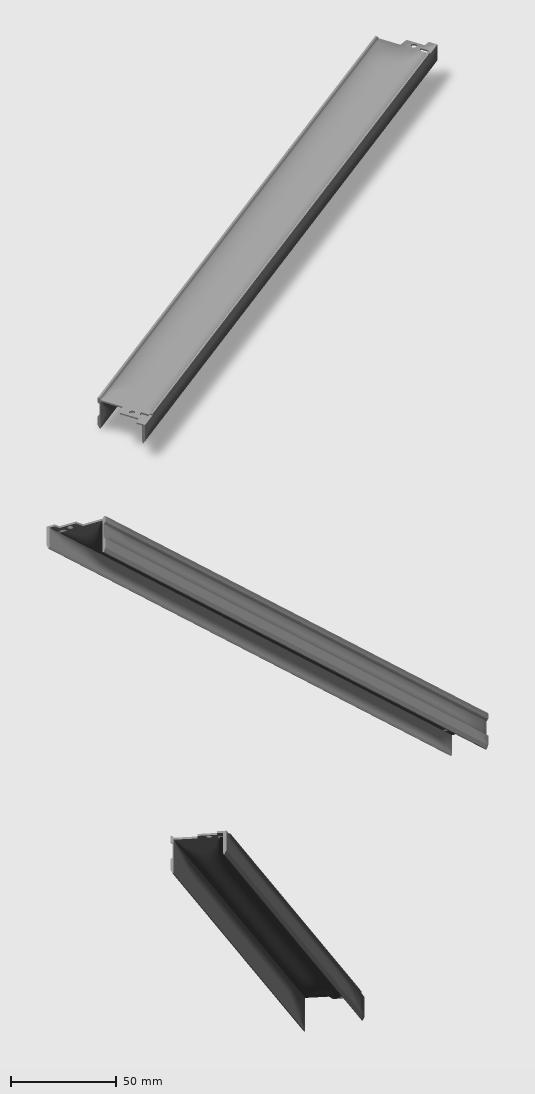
import cadquery as cq

length = 320.0
width = 28.8
height = 18.2
body_length = 304.5

wall = 1.5
thin_wall = 0.5
ridge_height = 1.0
ridge_crest = 1.0
web_thickness = 1.0
web_bottom = -ridge_height - web_thickness
recess_top = -3.0
recess_bottom = -11.5
recess_slope = 1.0
left_bevel_top = -16.3
right_bevel_top = -10.5
right_wall_bottom = -12.5
bevel_depth = 1.0
inner_bevel_height = 1.0
inner_bevel_depth = 0.3

tab_left = 13.0
tab_slant = 1.0
tab_shoulder = 157.0
ear_left = 23.7
ear_slant = 0.5
hole_diameter = 3.0
hole_x = 19.2
hole_y = 154.3
slot_left = 23.0
slot_width = 2.0

body_end = body_length / 2
tab_end = length / 2
right_inner = width - wall
recess_depth = wall - thin_wall


def extrude_section(points, section_length):
    """Extrude an XZ outline, centred along Y."""
    return cq.Workplane("XZ").polyline(points).close().extrude(section_length / 2, both=True)


def channel():
    """Full section: ridged web, recessed left wall and shorter right wall."""
    return extrude_section(
        [
            (0, 0),
            (ridge_crest, 0),
            (wall, -ridge_height),
            (right_inner, -ridge_height),
            (width - ridge_crest, 0),
            (width, 0),
            (width, right_bevel_top),
            (width - bevel_depth, right_wall_bottom),
            (right_inner + inner_bevel_depth, right_wall_bottom),
            (right_inner, right_wall_bottom + inner_bevel_height),
            (right_inner, web_bottom),
            (wall, web_bottom),
            (wall, -height),
            (bevel_depth, -height),
            (0, left_bevel_top),
            (0, recess_bottom),
            (recess_depth, recess_bottom + recess_slope),
            (recess_depth, recess_top - recess_slope),
            (0, recess_top),
        ],
        body_length,
    )


def tab_wall():
    """Right wall running the whole length, below the ridge."""
    return extrude_section(
        [
            (right_inner, -ridge_height),
            (width, -ridge_height),
            (width, right_bevel_top),
            (width - bevel_depth, right_wall_bottom),
            (right_inner + inner_bevel_depth, right_wall_bottom),
            (right_inner, right_wall_bottom + inner_bevel_height),
        ],
        length,
    )


def end_tab():
    """Stepped continuation of the web at the +Y end, with its hole and slot."""
    plate = (
        cq.Workplane("XY")
        .workplane(offset=web_bottom)
        .moveTo(tab_left, body_end)
        .lineTo(tab_left + tab_slant, tab_shoulder)
        .lineTo(ear_left, tab_shoulder)
        .lineTo(ear_left + ear_slant, tab_end)
        .lineTo(width, tab_end)
        .lineTo(width, body_end)
        .close()
        .extrude(web_thickness)
    )
    hole = (
        cq.Workplane("XY")
        .workplane(offset=web_bottom)
        .center(hole_x, hole_y)
        .circle(hole_diameter / 2)
        .extrude(web_thickness)
    )
    slot = cq.Workplane("XY").box(
        right_inner - slot_left, slot_width, web_thickness, centered=False
    ).translate((slot_left, body_end, web_bottom))
    return plate.cut(hole).cut(slot)


tab = end_tab()
result = channel().union(tab_wall()).union(tab).union(tab.mirror("XZ")).clean()